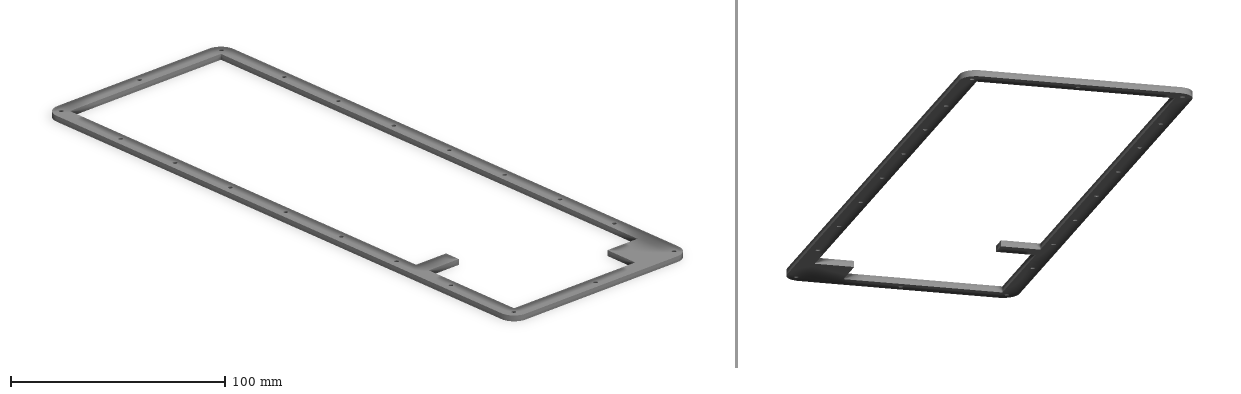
import cadquery as cq

length = 321.85
width = 112.3
thickness = 3.0
corner_radius = 8.0

border = 8.2
opening_length = length - 2 * border
opening_width = width - 2 * border

pitch = 19.05

tab_width = 8.7
tab_center_x = 89.7

hole_diameter = 2.2
row_hole_y = 51.9
row_inner_spacing = 2 * pitch
row_steps_per_side = 2
row_end_x = 113.5
side_hole_x = 156.8
corner_hole_x = 155.6
corner_hole_y = 50.9


def make_frame():
    """Rounded plate with the rectangular opening cut through it."""
    plate = cq.Workplane("XY").box(length, width, thickness, centered=(True, True, False))
    plate = plate.edges("|Z").fillet(corner_radius)
    opening = cq.Workplane("XY").rect(opening_length, opening_width).extrude(thickness)
    return plate.cut(opening)


def make_block(x_min, x_max, y_min, y_max):
    """Full-thickness rectangular block between the given limits."""
    block = cq.Workplane("XY").box(x_max - x_min, y_max - y_min, thickness, centered=False)
    return block.translate((x_min, y_min, 0))


def make_corner_block():
    """Square block filling the right rear corner of the opening."""
    right = opening_length / 2
    rear = opening_width / 2
    return make_block(right - pitch, right, rear - pitch, rear)


def make_tab():
    """Tab standing on the front border, rooted inside it for a solid joint."""
    front = -opening_width / 2
    left = tab_center_x - tab_width / 2
    return make_block(left, left + tab_width, front - border / 2, front + pitch)


def hole_positions():
    """Centres of the corner, side and front and rear row holes."""
    points = [(-side_hole_x, 0), (side_hole_x, 0)]
    row_x = [step * row_inner_spacing for step in range(-row_steps_per_side, row_steps_per_side + 1)]
    row_x += [-row_end_x, row_end_x]
    for side in (-1, 1):
        points += [(x, side * row_hole_y) for x in row_x]
        points += [(-corner_hole_x, side * corner_hole_y), (corner_hole_x, side * corner_hole_y)]
    return points


def make_holes():
    """Cylinders that cut the through holes."""
    return cq.Workplane("XY").pushPoints(hole_positions()).circle(hole_diameter / 2).extrude(thickness)


result = make_frame().union(make_corner_block()).union(make_tab()).cut(make_holes())